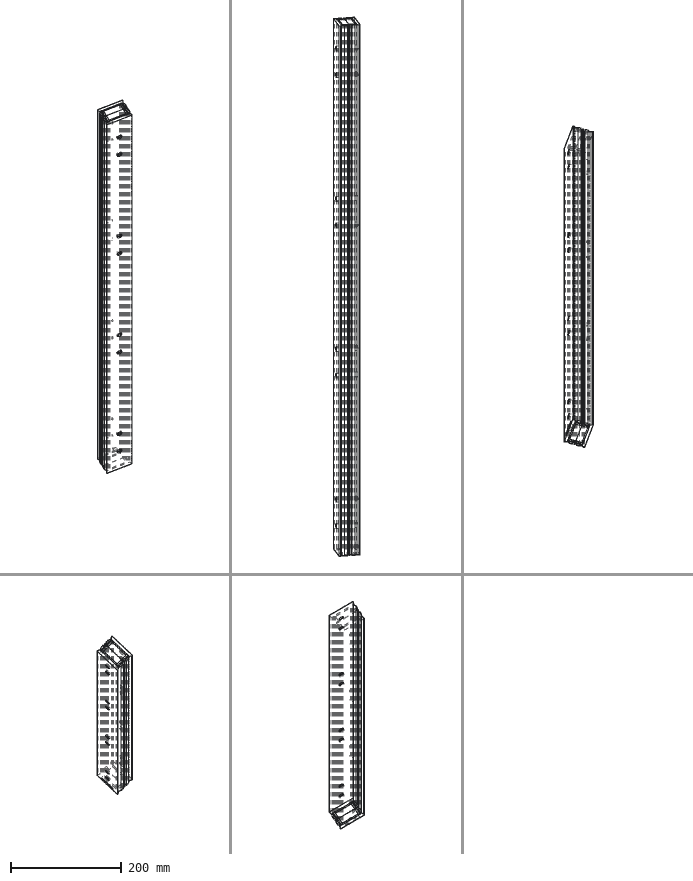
import cadquery as cq
import math


total_length = 1000.0
total_width = 39.0
height = 51.0
half_width = total_width / 2
half_height = height / 2

slide_offset = 0.2
slide_length = total_length - slide_offset

web_thickness = 5.5
flange_thickness = 3.5
channel_opening = 4.0
groove_radius = 5.0
groove_chord = 7.5
groove_inset = 6.0
groove_centre_x = half_width - groove_inset

rail_web_gap = 2.5
rail_thickness = half_width - web_thickness - rail_web_gap
rail_half_height = 17.0
foot_thickness = 1.0
foot_height = 50.0

cage_thickness = 3.0

screw_hole_diameter = 9.0
screw_hole_depth = 3.0
pair_count = 4
pair_spacing = 50.0
end_margin = 50.0
pair_pitch = (total_length - 2 * end_margin - pair_spacing) / (pair_count - 1)

seat_width = 29.0
seat_height = 7.0
seat_depth = 0.5
seat_centre_z = 8.0
seat_screw_diameter = 5.0
countersink_diameter = 14.0
countersink_angle = 90

SIDES = (-1, 1)


def bar(x_start, x_end, y_size, y_centre=0):
    """Rectangular bar of slide length between two X positions."""
    section = cq.Workplane("XY").center((x_start + x_end) / 2, y_centre)
    return section.rect(x_end - x_start, y_size).extrude(slide_length)


def inner_rail():
    """Inner rail: the bar and its foot plate."""
    foot = bar(0, foot_thickness, foot_height)
    return bar(0, rail_thickness, 2 * rail_half_height).union(foot)


def ball_cage(side):
    """Ball cage on the front or back side of the rail bar."""
    y_centre = side * (rail_half_height + cage_thickness / 2)
    return bar(foot_thickness, half_width - web_thickness, cage_thickness, y_centre)


def flange_groove(side):
    """Cutter for the round groove along the outside of one flange."""
    axis_height = math.sqrt(groove_radius**2 - (groove_chord / 2) ** 2)
    axis_y = side * (half_height + axis_height)
    return cq.Workplane("XY").center(groove_centre_x, axis_y).circle(groove_radius).extrude(slide_length)


def screw_holes():
    """Cutters for the screw holes in the outer face of the channel web."""
    hole_points = [
        (0, end_margin + pair * pair_pitch + step)
        for pair in range(pair_count)
        for step in (0, pair_spacing)
    ]
    hole_floor = cq.Workplane("YZ", origin=(half_width - screw_hole_depth, 0, 0))
    return hole_floor.pushPoints(hole_points).circle(screw_hole_diameter / 2).extrude(screw_hole_depth)


def outer_channel(base_z):
    """Outer channel, open towards the joint plane, with its lower end at base_z."""
    cavity = bar(channel_opening, half_width - web_thickness, height - 2 * flange_thickness)
    channel = bar(channel_opening, half_width, height).cut(cavity)
    for side in SIDES:
        channel = channel.cut(flange_groove(side))
    return channel.translate((0, 0, base_z)).cut(screw_holes())


def stop_seat():
    """Cutter for a shallow seat and its countersunk screw hole, in the outer face of the -X web."""
    face = cq.Workplane("YZ", origin=(-half_width, 0, seat_centre_z))
    seat = face.rect(seat_width, seat_height).extrude(seat_depth)
    screw = face.circle(seat_screw_diameter / 2).extrude(web_thickness)
    half_angle = math.radians(countersink_angle / 2)
    sink_depth = (countersink_diameter - seat_screw_diameter) / 2 / math.tan(half_angle)
    sink = cq.Solid.makeCone(
        countersink_diameter / 2,
        seat_screw_diameter / 2,
        sink_depth,
        pnt=cq.Vector(-half_width, 0, seat_centre_z),
        dir=cq.Vector(1, 0, 0),
    )
    return seat.union(screw).union(cq.Workplane(sink))


def raised_mirror(body):
    """Copy of a +X body for the -X slide, raised by the slide offset."""
    return body.mirror("YZ").translate((0, 0, slide_offset))


right_channel = outer_channel(0)
left_channel = outer_channel(slide_offset).mirror("YZ").cut(stop_seat())

right_rail = inner_rail()
left_rail = raised_mirror(right_rail)

ball_cages = []
for side in SIDES:
    cage = ball_cage(side)
    ball_cages.append(cage)
    ball_cages.append(raised_mirror(cage))

result = cq.Compound.makeCompound(
    [
        left_channel.val(),
        right_channel.val(),
        left_rail.val(),
        right_rail.val(),
        *[cage.val() for cage in ball_cages],
    ]
)